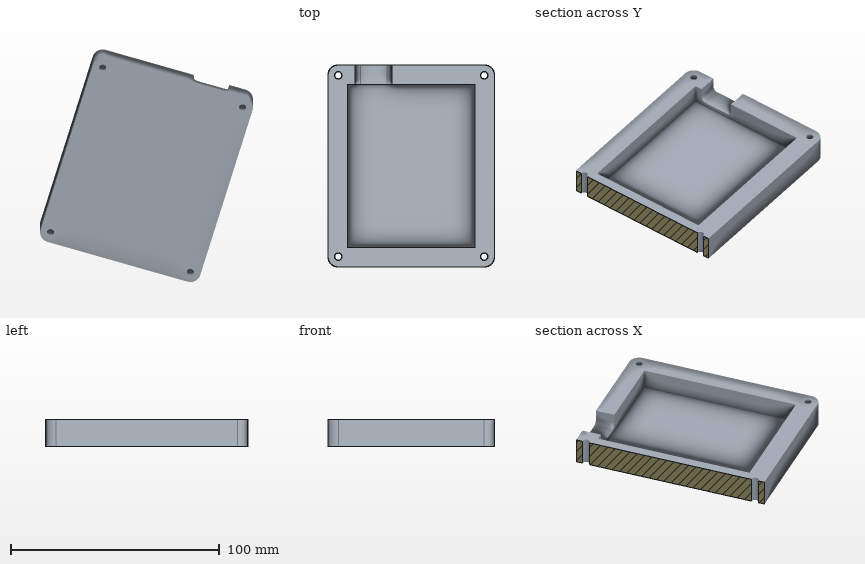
import cadquery as cq

length_x = 80.0
width_y = 97.0
height = 13.0
corner_radius = 5.0

rim = 9.5
floor_thickness = 3.0

hole_diameter = 3.4

notch_left = -26.9
notch_width = 17.75
notch_depth = 7.5
notch_radius = 2.5


def make_body():
    """Block with rounded vertical corners, standing on Z = 0."""
    block = cq.Workplane("XY").box(length_x, width_y, height, centered=(True, True, False))
    return block.edges("|Z").fillet(corner_radius)


def make_pocket():
    """Square-cornered cavity, open at the top."""
    cavity = cq.Workplane("XY").workplane(offset=floor_thickness)
    return cavity.rect(length_x - 2 * rim, width_y - 2 * rim).extrude(height - floor_thickness)


def make_notch():
    """Channel running from the pocket out through the +Y side."""
    channel = cq.Workplane("XY").box(notch_width, rim, notch_depth, centered=False)
    channel = channel.edges("|Y and <Z").fillet(notch_radius)
    return channel.translate((notch_left, width_y / 2 - rim, height - notch_depth))


def drill_corner_holes(part):
    """Through hole at the centre of each corner round."""
    spacing_x = length_x - 2 * corner_radius
    spacing_y = width_y - 2 * corner_radius
    top = part.faces(">Z").workplane(origin=(0, 0, height))
    return top.rect(spacing_x, spacing_y, forConstruction=True).vertices().hole(hole_diameter)


result = drill_corner_holes(make_body()).cut(make_pocket()).cut(make_notch())